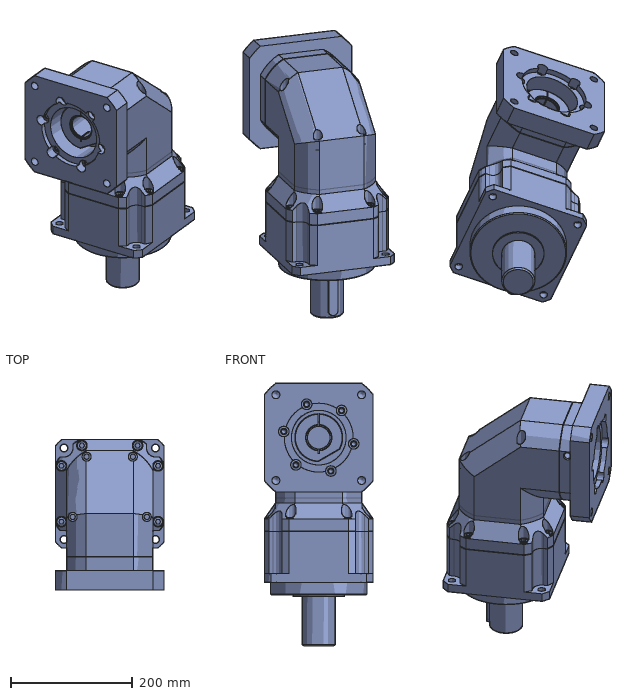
import cadquery as cq
import math

HALF_WIDTH = 90.0
INPUT_Z = 239.0
BOTTOM_Z = -105.5

FLANGE_THICK = 14.5
FLANGE_CORNER_R = 120.0
FLANGE_HOLE_AT = 75.5
FLANGE_HOLE_R = 6.0
BODY_CORNER_R = 102.5
BODY_TOP_Z = 84.0
NOTCH_R = 15.0
PILOT_R = 80.0
PILOT_DEPTH = 21.0
PILOT_CHAMFER = 1.7
SEAL_R = 42.5
SEAL_DEPTH = 24.0

SHAFT_R = 27.5
SHAFT_CHAMFER = 2.5
KEY_WIDTH = 16.0
KEY_LENGTH = 71.0
KEY_TOP_Z = -28.5
KEY_OUTER_Y = 31.5

GROOVE_WIDTH = 1.0
GROOVE_DEPTH = 0.5

TAPER_START_Z = 105.0
TAPER_END_Z = 131.5
BELL_TOP_Z = 139.0
BELL_SCREW_CIRCLE_R = 92.0
BELL_SCREW_ANGLES = (30, 60)
BELL_SCREW_SEAT_R = 8.5
BELL_SCREW_SEAT_Z = 107.0
SCREW_HEAD_R = 7.5
HEX_SOCKET_R = 4.5
HEAD_HEIGHT = 1.7
HEX_SOCKET_DEPTH = 3.5

TUBE_HALF = 71.5
TUBE_CORNER_R = 81.5
SLOPE_LOW_Z = 225.0
CREASE_LOW_Z = 213.0
SLOPE_HIGH_Y = -32.5
ELBOW_FRONT_Y = -104.0
ELBOW_SCREW_R = 7.5
ELBOW_SCREW_HOLE_R = 4.5
ELBOW_SCREW_HOLE_DEPTH = 8.5
REAR_SCREW = (38.3, 61.5, 208.8)
FRONT_SCREW = (61.5, -38.3, 269.5)

PLATE_BACK_Y = -127.0
PLATE_FRONT_Y = -159.0
PLATE_CORNER_R = 115.0
PLATE_HOLE_AT = 71.0
PLATE_HOLE_R = 6.5
PLATE_HOLE_DEPTH = 21.7
DRILL_TIP_ANGLE = 118
RECESS_R = 57.0
RECESS_DEPTH = 8.5
POCKET_R = 45.2
PLATE_SCREW_COUNT = 6
PLATE_SCREW_CIRCLE_R = 58.5
PLATE_SCREW_FIRST_ANGLE = 50
PLATE_SCREW_SEAT_R = 8.5
PLATE_SCREW_SEAT_DEPTH = 17.5
PLATE_SCREW_HOLE_R = 5.2
PLATE_SCREW_CHAMFER = 1.5
PLATE_SCREW_HOLE_DEPTH = 13.0
ACCESS_Y = -118.5
ACCESS_ABOVE_AXIS = 31.0
ACCESS_R = 5.2
ACCESS_MOUTH_R = 7.0

HUB_FACE_Y = -128.7
COLLAR_R = 39.5
COLLAR_CHAMFER = 1.0
COLLAR_FLAT_DIST = 34.0
COLLAR_FLAT_ANGLE = -60
SLEEVE_R = 26.0
SLEEVE_END_Y = -56.5
HUB_BORE_R = 18.5
HUB_BORE_DEPTH = 61.0
HUB_MOUTH_R = 21.0
HUB_MOUTH_DEPTH = 3.5
HUB_MOUTH_CHAMFER = 1.0
SLIT_WIDTH = 1.7

TUBE_FLAT_HALF = math.sqrt(TUBE_CORNER_R**2 - TUBE_HALF**2)


def at_z(z):
    return cq.Workplane("XY").workplane(offset=z)


def on_input_axis(y):
    """XZ plane on the input axis at the given Y; extruding goes towards -Y."""
    return cq.Workplane("XZ", origin=(0, y, INPUT_Z))


def block_on(plane, half, corner_r, length):
    """Square bar whose corners are cut round by a circle about its axis."""
    square = plane.rect(2 * half, 2 * half).extrude(length)
    return square.intersect(plane.circle(corner_r).extrude(length))


def grooved_block(plane, half, corner_r, length):
    """Square bar with a shallow groove around its first end, beside the part it seats on."""
    block = block_on(plane, half, corner_r, length)
    inner = block_on(plane, half - GROOVE_DEPTH, corner_r - GROOVE_DEPTH, GROOVE_WIDTH)
    outer = block_on(plane, half, corner_r, GROOVE_WIDTH)
    return block.cut(outer.cut(inner))


def four_corners(distance):
    return [(sx * distance, sy * distance) for sx in (-1, 1) for sy in (-1, 1)]


def cut_corner_notches(body):
    """Clear the flange bolts: a round-bottomed notch along each vertical corner."""
    inner = FLANGE_HOLE_AT - NOTCH_R
    size = HALF_WIDTH
    notch = (
        at_z(FLANGE_THICK)
        .center(inner + size / 2, inner + size / 2)
        .rect(size, size)
        .extrude(TAPER_END_Z)
        .edges("|Z and <X and <Y")
        .fillet(NOTCH_R)
    )
    for quarter in range(4):
        body = body.cut(notch.rotate((0, 0, 0), (0, 0, 1), 90 * quarter))
    return body


def drill(radius, depth):
    """Blind hole tool from Y = 0 towards +Y with a conical tip."""
    tip = radius / math.tan(math.radians(DRILL_TIP_ANGLE / 2))
    profile = [(0, 0), (radius, 0), (radius, depth), (0, depth + tip)]
    return cq.Workplane("XY").polyline(profile).close().revolve(360, (0, 0, 0), (0, 1, 0))


def make_gear_housing():
    flange = block_on(at_z(0), HALF_WIDTH, FLANGE_CORNER_R, FLANGE_THICK)
    bolt_holes = at_z(0).pushPoints(four_corners(FLANGE_HOLE_AT)).circle(FLANGE_HOLE_R).extrude(FLANGE_THICK)
    body = block_on(at_z(FLANGE_THICK), HALF_WIDTH, BODY_CORNER_R, BODY_TOP_Z - FLANGE_THICK)
    pilot = at_z(0).circle(PILOT_R).extrude(-PILOT_DEPTH).faces("<Z").chamfer(PILOT_CHAMFER)
    seal = at_z(0).circle(SEAL_R).extrude(-SEAL_DEPTH)
    housing = flange.cut(bolt_holes).union(cut_corner_notches(body)).union(pilot).union(seal)
    return housing.cut(at_z(-SEAL_DEPTH).circle(SHAFT_R).extrude(SEAL_DEPTH))


def make_output_shaft():
    shaft = at_z(BOTTOM_Z).circle(SHAFT_R).extrude(-BOTTOM_Z).faces("<Z").chamfer(SHAFT_CHAMFER)
    key = (
        cq.Workplane("XZ", origin=(0, 0, KEY_TOP_Z - KEY_LENGTH / 2))
        .slot2D(KEY_LENGTH, KEY_WIDTH, 90)
        .extrude(-KEY_OUTER_Y)
    )
    return shaft.union(key)


def make_bell():
    base = grooved_block(at_z(BODY_TOP_Z), HALF_WIDTH, BODY_CORNER_R, TAPER_START_Z - BODY_TOP_Z)
    taper_height = TAPER_END_Z - TAPER_START_Z
    taper_angle = math.degrees(math.atan((HALF_WIDTH - TUBE_HALF) / taper_height))
    pyramid = at_z(TAPER_START_Z).rect(2 * HALF_WIDTH, 2 * HALF_WIDTH).extrude(taper_height, taper=taper_angle)
    cone = cq.Solid.makeCone(BODY_CORNER_R, TUBE_CORNER_R, taper_height, pnt=cq.Vector(0, 0, TAPER_START_Z))
    neck = block_on(at_z(TAPER_END_Z), TUBE_HALF, TUBE_CORNER_R, BELL_TOP_Z - TAPER_END_Z)
    bell = cut_corner_notches(base.union(pyramid.intersect(cq.Workplane(cone))).union(neck))

    angles = [math.radians(a + 90 * quarter) for quarter in range(4) for a in BELL_SCREW_ANGLES]
    spots = [(BELL_SCREW_CIRCLE_R * math.cos(a), BELL_SCREW_CIRCLE_R * math.sin(a)) for a in angles]
    head_top = BELL_SCREW_SEAT_Z
    ring_bottom = head_top - HEAD_HEIGHT
    seats = at_z(head_top).pushPoints(spots).circle(BELL_SCREW_SEAT_R).extrude(TAPER_END_Z - head_top)
    rings = (
        at_z(ring_bottom).pushPoints(spots).circle(BELL_SCREW_SEAT_R).circle(SCREW_HEAD_R).extrude(HEAD_HEIGHT)
    )
    sockets = at_z(head_top).pushPoints(spots).polygon(6, 2 * HEX_SOCKET_R).extrude(-HEX_SOCKET_DEPTH)
    return bell.cut(seats).cut(rings).cut(sockets)


def cut_to_side_profile(tube, profile):
    """Keep the part of a tube inside a (Y, Z) outline."""
    slab = cq.Workplane("YZ").polyline(profile).close().extrude(TUBE_CORNER_R, both=True)
    return tube.intersect(slab)


def make_elbow():
    flat = TUBE_FLAT_HALF
    inner_corner = (-TUBE_HALF, INPUT_Z - TUBE_HALF)
    mitre_end = (-flat, INPUT_Z - flat)
    low_crease = (flat, CREASE_LOW_Z)
    high_crease = (-flat, INPUT_Z + flat)
    top_z = INPUT_Z + TUBE_HALF

    upright = block_on(at_z(BELL_TOP_Z), TUBE_HALF, TUBE_CORNER_R, top_z - BELL_TOP_Z)
    upright = cut_to_side_profile(upright, [
        (-TUBE_HALF, BELL_TOP_Z), (TUBE_HALF, BELL_TOP_Z), (TUBE_HALF, SLOPE_LOW_Z),
        low_crease, mitre_end, inner_corner,
    ])
    level = block_on(on_input_axis(0), TUBE_HALF, TUBE_CORNER_R, -ELBOW_FRONT_Y)
    level = cut_to_side_profile(level, [
        (ELBOW_FRONT_Y, inner_corner[1]), inner_corner, mitre_end, high_crease,
        (SLOPE_HIGH_Y, top_z), (ELBOW_FRONT_Y, top_z),
    ])
    core = (
        cq.Workplane("YZ").polyline([low_crease, high_crease, mitre_end]).close().extrude(TUBE_HALF, both=True)
    )
    low_end = upright.faces(">Z").wires().val()
    high_end = level.faces(">Y").wires().val()
    back = cq.Workplane(cq.Solid.makeLoft([low_end, high_end], True))
    elbow = upright.union(core).union(level).union(back)

    for x, y, seat_z in (REAR_SCREW, FRONT_SCREW):
        seats = at_z(seat_z).pushPoints([(x, y), (-x, y)])
        elbow = elbow.cut(seats.circle(ELBOW_SCREW_R).extrude(top_z - seat_z))
        elbow = elbow.cut(seats.circle(ELBOW_SCREW_HOLE_R).extrude(-ELBOW_SCREW_HOLE_DEPTH))
    return elbow.cut(on_input_axis(SLEEVE_END_Y).circle(SLEEVE_R).extrude(SLEEVE_END_Y - ELBOW_FRONT_Y))


def make_input_flange():
    spacer_length = ELBOW_FRONT_Y - PLATE_BACK_Y
    plate_thick = PLATE_BACK_Y - PLATE_FRONT_Y
    spacer = grooved_block(on_input_axis(ELBOW_FRONT_Y), TUBE_HALF, TUBE_CORNER_R, spacer_length)
    plate = block_on(on_input_axis(PLATE_BACK_Y), HALF_WIDTH, PLATE_CORNER_R, plate_thick)
    flange = spacer.union(plate)
    flange = flange.cut(on_input_axis(ELBOW_FRONT_Y).circle(POCKET_R).extrude(spacer_length + plate_thick))
    flange = flange.cut(on_input_axis(PLATE_FRONT_Y).circle(RECESS_R).extrude(-RECESS_DEPTH))

    mount_hole = drill(PLATE_HOLE_R, PLATE_HOLE_DEPTH)
    for x, z in four_corners(PLATE_HOLE_AT):
        flange = flange.cut(mount_hole.translate((x, PLATE_FRONT_Y, INPUT_Z + z)))

    screw_hole = (
        drill(PLATE_SCREW_HOLE_R - PLATE_SCREW_CHAMFER, PLATE_SCREW_HOLE_DEPTH)
        .union(cq.Workplane(cq.Solid.makeCone(
            PLATE_SCREW_HOLE_R, PLATE_SCREW_HOLE_R - PLATE_SCREW_CHAMFER, PLATE_SCREW_CHAMFER,
            dir=cq.Vector(0, 1, 0),
        )))
        .union(cq.Workplane("XZ").circle(PLATE_SCREW_SEAT_R).extrude(PLATE_SCREW_SEAT_DEPTH))
    )
    seat_y = PLATE_FRONT_Y + PLATE_SCREW_SEAT_DEPTH
    for i in range(PLATE_SCREW_COUNT):
        angle = math.radians(PLATE_SCREW_FIRST_ANGLE + 360 * i / PLATE_SCREW_COUNT)
        x = PLATE_SCREW_CIRCLE_R * math.cos(angle)
        z = INPUT_Z + PLATE_SCREW_CIRCLE_R * math.sin(angle)
        flange = flange.cut(screw_hole.translate((x, seat_y, z)))

    access_point = cq.Vector(-TUBE_HALF, ACCESS_Y, INPUT_Z + ACCESS_ABOVE_AXIS)
    access = cq.Workplane("YZ", origin=access_point).circle(ACCESS_R).extrude(TUBE_HALF)
    mouth_depth = ACCESS_MOUTH_R - ACCESS_R
    mouth = cq.Solid.makeCone(ACCESS_MOUTH_R, ACCESS_R, mouth_depth, pnt=access_point, dir=cq.Vector(1, 0, 0))
    return flange.cut(access).cut(cq.Workplane(mouth))


def make_input_hub():
    collar_length = ELBOW_FRONT_Y - HUB_FACE_Y
    collar = on_input_axis(ELBOW_FRONT_Y).circle(COLLAR_R).extrude(collar_length)
    clamp_flat = (
        on_input_axis(ELBOW_FRONT_Y)
        .center(COLLAR_FLAT_DIST + COLLAR_R / 2, 0)
        .rect(COLLAR_R, 2 * COLLAR_R)
        .extrude(collar_length)
        .rotate((0, 0, INPUT_Z), (0, -1, INPUT_Z), COLLAR_FLAT_ANGLE)
    )
    collar = collar.cut(clamp_flat).faces("<Y").chamfer(COLLAR_CHAMFER)
    sleeve = on_input_axis(SLEEVE_END_Y).circle(SLEEVE_R).extrude(SLEEVE_END_Y - ELBOW_FRONT_Y)
    hub = collar.union(sleeve)

    face = on_input_axis(HUB_FACE_Y)
    hub = hub.cut(face.circle(HUB_BORE_R).extrude(-HUB_BORE_DEPTH))
    mouth = face.circle(HUB_MOUTH_R).extrude(-HUB_MOUTH_DEPTH)
    mouth_edge = cq.Solid.makeCone(
        HUB_MOUTH_R + HUB_MOUTH_CHAMFER, HUB_MOUTH_R, HUB_MOUTH_CHAMFER,
        pnt=cq.Vector(0, HUB_FACE_Y, INPUT_Z), dir=cq.Vector(0, 1, 0),
    )
    hub = hub.cut(mouth).cut(cq.Workplane(mouth_edge))
    slit_top = face.center(0, COLLAR_R / 2).rect(SLIT_WIDTH, COLLAR_R).extrude(-collar_length)
    slit_bottom = face.center(0, -SLEEVE_R / 2).rect(SLIT_WIDTH, SLEEVE_R).extrude(-collar_length)
    return hub.cut(slit_top).cut(slit_bottom)


gear_housing = make_gear_housing()
output_shaft = make_output_shaft()
elbow_housing = make_bell().union(make_elbow(), clean=False)
input_flange = make_input_flange()
input_hub = make_input_hub()

result = cq.Compound.makeCompound([
    gear_housing.val(), output_shaft.val(), elbow_housing.val(),
    input_flange.val(), input_hub.val(),
])